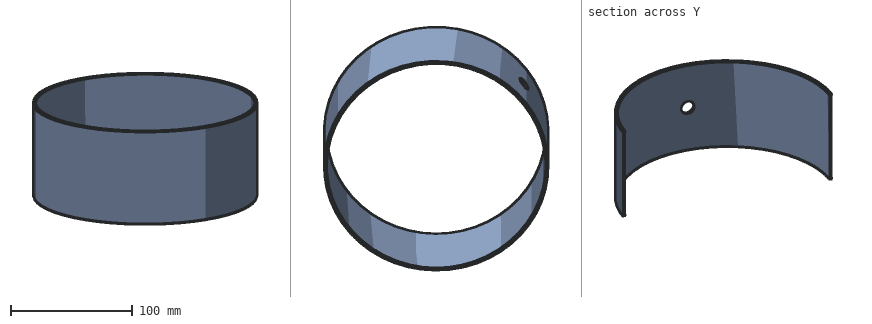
import cadquery as cq

outer_diameter = 185.0
wall_thickness = 2.4
height = 80.0

chamfer_width = 0.46
chamfer_height = 1.0

hole_diameter = 11.5
hole_height = height / 2

outer_radius = outer_diameter / 2
inner_radius = outer_radius - wall_thickness


def make_ring():
    """Revolve the wall section, chamfered at all four corners, about Z."""
    flat_inner_radius = inner_radius + chamfer_width
    flat_outer_radius = outer_radius - chamfer_width
    wall_top = height - chamfer_height
    section = (
        cq.Workplane("XZ")
        .moveTo(flat_inner_radius, 0)
        .lineTo(flat_outer_radius, 0)
        .lineTo(outer_radius, chamfer_height)
        .lineTo(outer_radius, wall_top)
        .lineTo(flat_outer_radius, height)
        .lineTo(flat_inner_radius, height)
        .lineTo(inner_radius, wall_top)
        .lineTo(inner_radius, chamfer_height)
        .close()
    )
    return section.revolve(360, (0, 0, 0), (0, 1, 0))


def make_side_hole():
    """Radial cylinder running from the axis out through the +Y wall."""
    return (
        cq.Workplane("XZ")
        .center(0, hole_height)
        .circle(hole_diameter / 2)
        .extrude(-outer_diameter)
    )


result = make_ring().cut(make_side_hole())